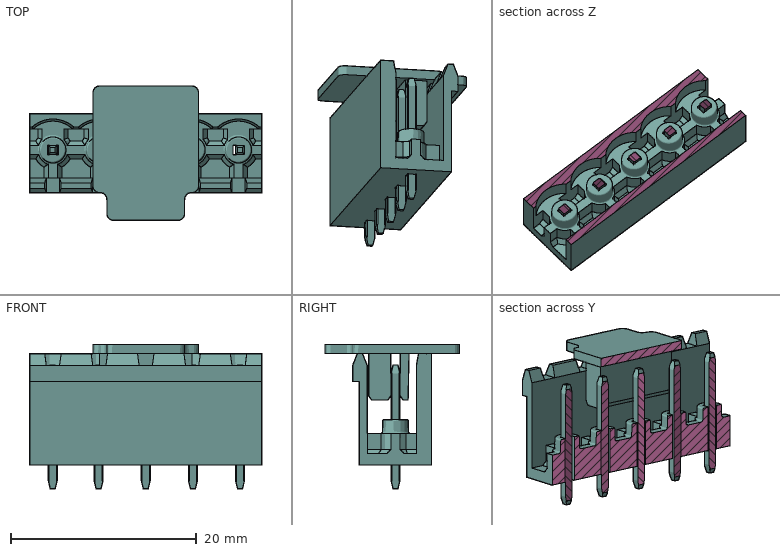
import cadquery as cq


pole_count = 5
bay_pitch = 5.0
housing_length = pole_count * bay_pitch
housing_height = 12.0
rear_face = 3.9
rear_inner = 2.24
front_inner = -3.04
front_face = -3.92
bay_positions = [(i - (pole_count - 1) / 2) * bay_pitch for i in range(pole_count)]

lip_face = -4.62
lip_bottom = 9.0
lip_shoulder = 10.74
lip_top_front = -4.13
lip_top_rear = -3.54
notch_top_width = 1.77
notch_bottom_width = 1.43

scallop_radius = 3.1
mouth_flare = 0.23
mouth_bottom = lip_shoulder

floor_top = 1.22
rib_top = 3.4
rib_foot = 0.46
long_rib_width = 1.0
front_rib_width = 1.0
rear_rib_width = 2.34
post_radius = 1.62

collar_top = 4.9
collar_root_fillet = 0.2
collar_radius = post_radius - collar_root_fillet
collar_top_radius = 1.39
collar_top_fillet = 0.18

pin_width = 1.0
pin_bottom = -2.58
pin_top = 10.78
pin_tip_length = 0.95
pin_tip_width = 0.54
pin_edge_chamfer = 0.12
pin_pitch = 5.08
first_pin_x = -10.02
pin_positions = [first_pin_x] + [i * pin_pitch for i in (-1, 0, 1, 2)]
pin_hole_length = 1.16

cap_thickness = 1.0
cap_width = 11.4
cap_rear = 6.9
cap_shoulder = -4.6
cap_front = -7.6
cap_corner_radius = 0.75
cap_tab_width = cap_width - 4 * cap_corner_radius

leg_length = 10.0
leg_bottom = housing_height - 5.0
leg_chamfer_height = 0.45
leg_chamfer_width = 0.31
front_leg_outer = -2.89
rear_leg_outer_top = 1.47
rear_leg_outer_bottom = 1.37


def along_x(points, length):
    """Extrude a closed (y, z) outline along X, centred on X = 0."""
    return cq.Workplane("YZ").polyline(points).close().extrude(length / 2, both=True)


def along_y(points, y_start, y_end):
    """Extrude a closed (x, z) outline along Y from y_start to y_end."""
    return cq.Workplane("XZ", origin=(0, y_start, 0)).polyline(points).close().extrude(y_start - y_end)


def rib_outline(width):
    """Rib cross-section standing on the floor, with a 45 degree foot on both sides."""
    half = width / 2
    foot = half + rib_foot
    return [
        (-foot, 0), (-foot, floor_top), (-half, floor_top + rib_foot), (-half, rib_top),
        (half, rib_top), (half, floor_top + rib_foot), (foot, floor_top), (foot, 0),
    ]


def make_wall_shell():
    """Floor, rear wall and front wall with its latch lip."""
    return along_x(
        [
            (rear_face, 0), (rear_face, housing_height),
            (rear_inner + mouth_flare, housing_height), (rear_inner, mouth_bottom),
            (rear_inner, floor_top), (front_inner, floor_top), (front_inner, lip_shoulder),
            (lip_top_rear, housing_height), (lip_top_front, housing_height),
            (lip_face, lip_shoulder), (lip_face, lip_bottom), (front_face, lip_bottom),
            (front_face, 0),
        ],
        housing_length,
    )


def make_scallop():
    """Round clearance in the rear wall, flared at the mouth."""
    mouth_radius = scallop_radius + mouth_flare
    return (
        cq.Workplane("XZ")
        .polyline([
            (0, rib_top), (scallop_radius, rib_top), (scallop_radius, mouth_bottom),
            (mouth_radius, housing_height), (0, housing_height),
        ])
        .close()
        .revolve(360, (0, 0, 0), (0, 1, 0))
        .intersect(
            cq.Workplane("XY").box(
                housing_length, rear_face, housing_height, centered=(True, False, False)
            )
        )
    )


def make_notch():
    """Tapered gap through the top of the latch lip."""
    top = notch_top_width / 2
    bottom = notch_bottom_width / 2
    return along_y(
        [
            (-top, housing_height), (-bottom, lip_shoulder),
            (bottom, lip_shoulder), (top, housing_height),
        ],
        front_inner, lip_face,
    )


def make_post():
    """Round post with a conical foot; the collar on top blends into it."""
    post = (
        cq.Workplane("XZ")
        .polyline([
            (0, 0), (post_radius + rib_foot, 0), (post_radius + rib_foot, floor_top),
            (post_radius, floor_top + rib_foot), (post_radius, rib_top), (0, rib_top),
        ])
        .close()
        .revolve(360, (0, 0, 0), (0, 1, 0))
    )
    root_arc_middle = collar_root_fillet * (1 - 0.5 ** 0.5)
    collar = (
        cq.Workplane("XZ")
        .moveTo(0, rib_top)
        .lineTo(post_radius, rib_top)
        .threePointArc(
            (collar_radius + root_arc_middle, rib_top + root_arc_middle),
            (collar_radius, rib_top + collar_root_fillet),
        )
        .lineTo(collar_top_radius, collar_top)
        .lineTo(0, collar_top)
        .close()
        .revolve(360, (0, 0, 0), (0, 1, 0))
        .faces(">Z").edges().fillet(collar_top_fillet)
    )
    return post.union(collar)


def make_pin():
    """Square pin with chamfered edges and a pyramid tip at both ends."""
    half = pin_width / 2
    tip = pin_tip_width / 2
    outline = [
        (-tip, pin_bottom), (-half, pin_bottom + pin_tip_length),
        (-half, pin_top - pin_tip_length), (-tip, pin_top),
        (tip, pin_top), (half, pin_top - pin_tip_length),
        (half, pin_bottom + pin_tip_length), (tip, pin_bottom),
    ]
    bar = (
        cq.Workplane("XY", origin=(0, 0, pin_bottom))
        .rect(pin_width, pin_width)
        .extrude(pin_top - pin_bottom)
        .edges("|Z").chamfer(pin_edge_chamfer)
    )
    return bar.intersect(along_x(outline, pin_width)).intersect(along_y(outline, half, -half))


def make_housing(pins):
    """Wall shell with scallops, notches, ribbed floor, posts and pin holes."""
    housing = make_wall_shell()
    for x in bay_positions:
        housing = housing.cut(make_scallop().translate((x, 0, 0)))
        housing = housing.cut(make_notch().translate((x, 0, 0)))

    housing = housing.union(along_x(rib_outline(long_rib_width), housing_length))
    rear_rib = along_y(rib_outline(rear_rib_width), rear_inner, 0)
    front_rib = along_y(rib_outline(front_rib_width), 0, front_inner)
    bay_floor = make_post().union(rear_rib).union(front_rib)
    for x in bay_positions:
        housing = housing.union(bay_floor.translate((x, 0, 0)))

    pin_hole = cq.Workplane("XY").rect(pin_hole_length, pin_width).extrude(collar_top)
    for x in bay_positions:
        housing = housing.cut(pin_hole.translate((x, 0, 0)))
    for pin in pins:
        housing = housing.cut(pin)
    return housing


def make_cap_plate():
    """Rounded plate that steps in to a narrower tab at the front through S-shaped curves."""
    half = cap_width / 2
    tab_half = cap_tab_width / 2
    r = cap_corner_radius
    return (
        cq.Workplane("XY", origin=(0, 0, housing_height))
        .moveTo(-half + r, cap_rear)
        .lineTo(half - r, cap_rear)
        .radiusArc((half, cap_rear - r), r)
        .lineTo(half, cap_shoulder + r)
        .radiusArc((half - r, cap_shoulder), r)
        .radiusArc((tab_half, cap_shoulder - r), -r)
        .lineTo(tab_half, cap_front + r)
        .radiusArc((tab_half - r, cap_front), r)
        .lineTo(-tab_half + r, cap_front)
        .radiusArc((-tab_half, cap_front + r), r)
        .lineTo(-tab_half, cap_shoulder - r)
        .radiusArc((-half + r, cap_shoulder), -r)
        .radiusArc((-half, cap_shoulder + r), r)
        .lineTo(-half, cap_rear - r)
        .radiusArc((-half + r, cap_rear), r)
        .close()
        .extrude(cap_thickness)
    )


def make_cap():
    """Plate with a front and a rear leg; the pins fit in the gap between the legs."""
    grip = pin_width / 2
    chamfer_top = leg_bottom + leg_chamfer_height
    front_leg = along_x(
        [
            (-grip, housing_height), (-grip, chamfer_top),
            (-grip - leg_chamfer_width, leg_bottom),
            (front_leg_outer + leg_chamfer_width, leg_bottom),
            (front_leg_outer, chamfer_top), (front_leg_outer, housing_height),
        ],
        leg_length,
    )
    rear_leg = along_x(
        [
            (grip, housing_height), (grip, chamfer_top), (grip + leg_chamfer_width, leg_bottom),
            (rear_leg_outer_bottom, leg_bottom), (rear_leg_outer_top, housing_height),
        ],
        leg_length,
    )
    return make_cap_plate().union(front_leg).union(rear_leg)


pins = [make_pin().translate((x, 0, 0)) for x in pin_positions]
housing = make_housing(pins)
cap = make_cap()

result = cq.Compound.makeCompound([housing.val(), *[pin.val() for pin in pins], cap.val()])